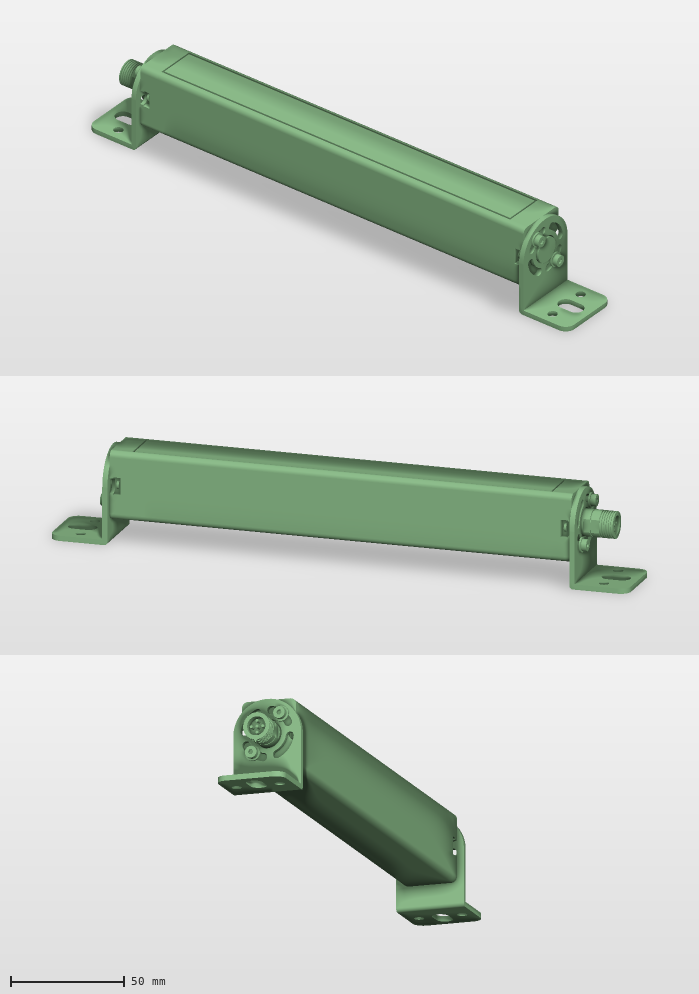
import cadquery as cq
import math

overall_length = 269.3
overall_width = 31.8
overall_height = 42.5
half_length = overall_length / 2

sheet = 2.5
foot_length = 24.8
bend_radius = 1.5
foot_corner_radius = 4.8
plate_x = foot_length - half_length
cap_x = plate_x + sheet
arc_radius = overall_width / 2
axis_z = overall_height - arc_radius
foot_hole_diameter = 4.5
foot_hole_inset = 13.0
foot_hole_spacing = 20.2
foot_slot_length = 13.2
foot_slot_width = 7.5
foot_slot_inset = 10.5

slot_count = 4
slot_pitch = 360 / slot_count
slot_radius = 10.8
slot_width = 3.8
slot_first_angle = 25.0
slot_sweep = 55.0

body_width = 25.3
body_height = 31.5
body_edge_radius = 2.7
cap_length = 9.7
profile_length = -2 * (cap_x + cap_length)
seam_offset = 9.5
seam_width = 1.0
end_seam_width = 0.8
seam_depth = 0.8

pocket_start = 1.5
pocket_length = 3.5
pocket_height = 8.0
pocket_depth = 2.7
channel_radius = 3.5
latch_rib_radius = 2.0
latch_rib_length = 1.0

boss_radius = 6.2
boss_projection = 0.8
centre_hole_radius = 6.7

screw_angle = 52.0
screw_angles = [screw_angle, screw_angle + 180]
flange_radius = 3.5
flange_thickness = 0.8
head_radius = 2.7
head_height = 2.5
socket_sides = 6
socket_size = 2.5
socket_depth = 1.3
shank_radius = 1.5
shank_length = 8.0

connector_radius = 6.2
connector_length = 14.5
connector_bore_radius = 4.3
connector_bore_depth = 4.0
flat_offset = 5.5
collar_groove_start = 3.8
collar_groove_width = 0.5
collar_groove_depth = 0.5
thread_pitch = 1.0
thread_turns = 6
thread_groove_width = 0.5
thread_depth = 0.5
thread_length = thread_turns * thread_pitch
pin_radius = 0.67
pin_circle_radius = 2.7
pin_length = 3.2
outer_pin_count = 4


def x_cylinder(radius, x_start, length, y=0.0, z=axis_z):
    """Cylinder along +X that starts at x_start."""
    return cq.Workplane("YZ", origin=(x_start, y, z)).circle(radius).extrude(length)


def around_axis(radius, angle):
    """Point (y, z) around the plate axis, with the angle measured from -Y toward +Z."""
    turn = math.radians(angle)
    return -radius * math.cos(turn), axis_z + radius * math.sin(turn)


def mirrored(body):
    """The same body at the right end."""
    return body.mirror("YZ")


def body_block(x_start, length):
    """Length of the rounded housing section."""
    return (
        cq.Workplane("XY", origin=(x_start, 0, overall_height - body_height))
        .box(length, body_width, body_height, centered=(False, True, False))
        .edges("|X")
        .fillet(body_edge_radius)
    )


def make_profile():
    """Long middle section, with a rectangular seam around the window in its top face."""
    profile = body_block(cap_x + cap_length, profile_length)
    seam_frame = (
        cq.Workplane("XY", origin=(0, 0, overall_height))
        .rect(profile_length, 2 * seam_offset + seam_width)
        .rect(profile_length - 2 * end_seam_width, 2 * seam_offset - seam_width)
        .extrude(-seam_depth)
    )
    return profile.cut(seam_frame)


def cut_latch_pocket(cap, side):
    """Side pocket that opens to the cap end through a round channel, with a rib left inside."""
    pocket_x = cap_x + pocket_start
    side_y = side * body_width / 2
    pocket = cq.Workplane("XY", origin=(pocket_x, side_y, axis_z)).box(
        pocket_length, 2 * pocket_depth, pocket_height, centered=(False, True, True)
    )
    channel = x_cylinder(channel_radius, cap_x, pocket_start, y=side_y)
    rib_y = side * (body_width / 2 - pocket_depth)
    rib_x = pocket_x + (pocket_length - latch_rib_length) / 2
    rib = x_cylinder(latch_rib_radius, rib_x, latch_rib_length, y=rib_y)
    return cap.cut(pocket).cut(channel).union(rib)


def screw_shank(angle):
    """Shank of a screw, which is also the shape of its hole in the cap."""
    y, z = around_axis(slot_radius, angle)
    return x_cylinder(shank_radius, plate_x, shank_length, y, z)


def make_cap():
    """Left end cap, with its boss, latch pockets and screw holes."""
    cap = body_block(cap_x, cap_length)
    boss = x_cylinder(boss_radius, plate_x - boss_projection, sheet + boss_projection)
    cap = cap.union(boss)
    for side in (1, -1):
        cap = cut_latch_pocket(cap, side)
    for angle in screw_angles:
        cap = cap.cut(screw_shank(angle))
    return cap


def ring_groove(x_start, width, depth):
    """Ring that cuts a groove into the connector."""
    outer = x_cylinder(connector_radius, x_start, width)
    return outer.cut(x_cylinder(connector_radius - depth, x_start, width))


def make_connector():
    """Threaded connector: flats behind the thread, and a bore with pins in the tip."""
    tip_x = plate_x - connector_length
    thread_end_x = tip_x + thread_length
    connector = x_cylinder(connector_radius, tip_x, connector_length)
    for turn in range(thread_turns):
        groove_x = tip_x + (turn + 0.5) * thread_pitch
        connector = connector.cut(ring_groove(groove_x, thread_groove_width, thread_depth))
    collar_x = plate_x - collar_groove_start - collar_groove_width
    connector = connector.cut(ring_groove(collar_x, collar_groove_width, collar_groove_depth))

    flat_length = plate_x - thread_end_x
    flat_depth = connector_radius - flat_offset
    for side in (1, -1):
        flat = cq.Workplane(
            "XY", origin=(thread_end_x, side * (flat_offset + flat_depth / 2), axis_z)
        ).box(flat_length, flat_depth, 2 * connector_radius, centered=(False, True, True))
        connector = connector.cut(flat)

    connector = connector.cut(x_cylinder(connector_bore_radius, tip_x, connector_bore_depth))
    pin_places = [(0, axis_z)]
    for index in range(outer_pin_count):
        pin_places.append(around_axis(pin_circle_radius, index * 360 / outer_pin_count))
    pin_x = tip_x + connector_bore_depth - pin_length
    for y, z in pin_places:
        connector = connector.union(x_cylinder(pin_radius, pin_x, pin_length, y, z))
    return connector


def arc_slot():
    """Cutter for one arc slot with round ends, through the upright plate."""
    inner = slot_radius - slot_width / 2
    outer = slot_radius + slot_width / 2
    start = slot_first_angle
    middle = start + slot_sweep / 2
    end = start + slot_sweep
    end_turn = math.degrees(slot_width / 2 / slot_radius)
    return (
        cq.Workplane("YZ", origin=(plate_x, 0, 0))
        .moveTo(*around_axis(inner, start))
        .threePointArc(around_axis(inner, middle), around_axis(inner, end))
        .threePointArc(around_axis(slot_radius, end + end_turn), around_axis(outer, end))
        .threePointArc(around_axis(outer, middle), around_axis(outer, start))
        .threePointArc(around_axis(slot_radius, start - end_turn), around_axis(inner, start))
        .close()
        .extrude(sheet)
    )


def make_bracket():
    """Left angle bracket: a round-topped plate with arc slots, and a foot with holes."""
    upright = (
        cq.Workplane("YZ", origin=(plate_x, 0, 0))
        .moveTo(-arc_radius, 0)
        .lineTo(arc_radius, 0)
        .lineTo(arc_radius, axis_z)
        .threePointArc((0, overall_height), (-arc_radius, axis_z))
        .close()
        .extrude(sheet)
    )
    foot = (
        cq.Workplane("XY", origin=(-half_length, 0, 0))
        .box(foot_length, overall_width, sheet, centered=(False, True, False))
        .edges("|Z and <X")
        .fillet(foot_corner_radius)
    )
    bracket = upright.union(foot).edges("|Y and >X and <Z").fillet(bend_radius)

    bracket = bracket.cut(x_cylinder(centre_hole_radius, plate_x, sheet))
    slot = arc_slot()
    for index in range(slot_count):
        turned = slot.rotate((0, 0, axis_z), (1, 0, axis_z), index * slot_pitch)
        bracket = bracket.cut(turned)

    foot_holes = (
        cq.Workplane("XY", origin=(foot_hole_inset - half_length, 0, 0))
        .pushPoints([(0, foot_hole_spacing / 2), (0, -foot_hole_spacing / 2)])
        .circle(foot_hole_diameter / 2)
        .extrude(sheet)
    )
    foot_slot = (
        cq.Workplane("XY", origin=(foot_slot_inset - half_length, 0, 0))
        .slot2D(foot_slot_length, foot_slot_width)
        .extrude(sheet)
    )
    return bracket.cut(foot_holes).cut(foot_slot)


def make_screw(angle):
    """Flanged socket screw on the left bracket."""
    y, z = around_axis(slot_radius, angle)
    flange_x = plate_x - flange_thickness
    head_x = flange_x - head_height
    flange = x_cylinder(flange_radius, flange_x, flange_thickness, y, z)
    head = x_cylinder(head_radius, head_x, head_height, y, z)
    socket = (
        cq.Workplane("YZ", origin=(head_x, y, z))
        .polygon(socket_sides, socket_size)
        .extrude(socket_depth)
    )
    return flange.union(head).cut(socket).union(screw_shank(angle))


profile = make_profile()

plain_cap = make_cap()
right_cap = mirrored(plain_cap)
left_cap = plain_cap.union(make_connector())

left_bracket = make_bracket()
right_bracket = mirrored(left_bracket)

screws = []
for angle in screw_angles:
    screw = make_screw(angle)
    screws.append(screw.val())
    screws.append(mirrored(screw).val())

result = cq.Compound.makeCompound([
    profile.val(),
    left_cap.val(),
    right_cap.val(),
    left_bracket.val(),
    right_bracket.val(),
    *screws,
])